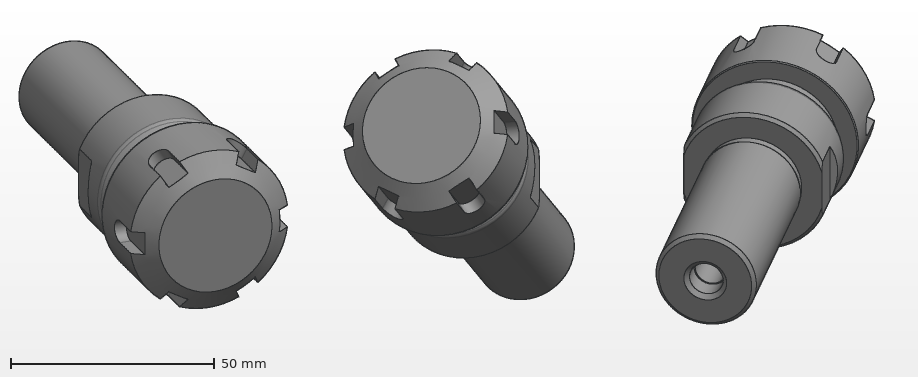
import cadquery as cq
import math

LENGTH = 96.5

SHANK_R = 25.4 / 2
SHANK_CHAMFER = 1.0
NECK_R = 24.8 / 2
SHANK_END = 48.1
NECK_START = 48.55

COLLAR_START = 50.6
COLLAR_R = 38.1 / 2
COLLAR_CHAMFER = 0.9
COLLAR_SHOULDER = 67.5
SHOULDER_FILLET = 1.5

GROOVE_R = 32.0 / 2
GROOVE_START = COLLAR_SHOULDER + COLLAR_R - GROOVE_R

NUT_START = 74.2
NUT_R = 42.2 / 2
NUT_CHAMFER = 0.3
NOSE_START = 92.5
NOSE_R = 15.1

FLAT_OFFSET = 17.5
FLAT_END = 59.2

SLOT_COUNT = 6
SLOT_WIDTH = 5.9
SLOT_TIP = 82.5
SLOT_FLOOR_R = 18.0

HOLE_R = 7.9 / 2
HOLE_DEPTH = 19.3
ENTRY_R = 4.2
ENTRY_DEPTH = 6.0
COUNTERSINK_R = 5.4


def turned_body():
    """Solid of revolution: shank, neck, collar, groove and nut."""
    full_bend = math.radians(45)
    half_bend = full_bend / 2
    fillet_start = COLLAR_SHOULDER - SHOULDER_FILLET * math.tan(half_bend)

    def on_fillet(angle):
        return (
            fillet_start + SHOULDER_FILLET * math.sin(angle),
            COLLAR_R - SHOULDER_FILLET * (1 - math.cos(angle)),
        )

    profile = (
        cq.Workplane("XY")
        .moveTo(0, 0)
        .lineTo(0, SHANK_R - SHANK_CHAMFER)
        .lineTo(SHANK_CHAMFER, SHANK_R)
        .lineTo(SHANK_END, SHANK_R)
        .lineTo(NECK_START, NECK_R)
        .lineTo(COLLAR_START, NECK_R)
        .lineTo(COLLAR_START, COLLAR_R - COLLAR_CHAMFER)
        .lineTo(COLLAR_START + COLLAR_CHAMFER, COLLAR_R)
        .lineTo(fillet_start, COLLAR_R)
        .threePointArc(on_fillet(half_bend), on_fillet(full_bend))
        .lineTo(GROOVE_START, GROOVE_R)
        .lineTo(NUT_START, GROOVE_R)
        .lineTo(NUT_START, NUT_R - NUT_CHAMFER)
        .lineTo(NUT_START + NUT_CHAMFER, NUT_R)
        .lineTo(NOSE_START, NUT_R)
        .lineTo(LENGTH, NOSE_R)
        .lineTo(LENGTH, 0)
        .close()
    )
    return profile.revolve(360, (0, 0, 0), (1, 0, 0))


def flat_cutter():
    """Material removed beside the collar on the +Y side."""
    ramp = NUT_R - FLAT_OFFSET
    return (
        cq.Workplane("XY")
        .moveTo(COLLAR_START, FLAT_OFFSET)
        .lineTo(FLAT_END, FLAT_OFFSET)
        .lineTo(FLAT_END + ramp, NUT_R)
        .lineTo(COLLAR_START, NUT_R)
        .close()
        .extrude(NUT_R, both=True)
    )


def slot_cutter():
    """Round-ended spanner slot on the +Y side, open at the nose."""
    half_width = SLOT_WIDTH / 2
    arc_centre = SLOT_TIP + half_width
    return (
        cq.Workplane("XZ", origin=(0, SLOT_FLOOR_R, 0))
        .moveTo(LENGTH, -half_width)
        .lineTo(arc_centre, -half_width)
        .threePointArc((SLOT_TIP, 0), (arc_centre, half_width))
        .lineTo(LENGTH, half_width)
        .close()
        .extrude(SLOT_FLOOR_R - LENGTH / 2)
    )


def centre_hole():
    """Countersunk, stepped blind hole bored along X from the shank end."""
    countersink_depth = COUNTERSINK_R - ENTRY_R
    return (
        cq.Workplane("XY")
        .moveTo(0, 0)
        .lineTo(0, COUNTERSINK_R)
        .lineTo(countersink_depth, ENTRY_R)
        .lineTo(ENTRY_DEPTH, ENTRY_R)
        .lineTo(ENTRY_DEPTH, HOLE_R)
        .lineTo(HOLE_DEPTH, HOLE_R)
        .lineTo(HOLE_DEPTH, 0)
        .close()
        .revolve(360, (0, 0, 0), (1, 0, 0))
    )


result = turned_body().cut(centre_hole())

for angle in (0, 180):
    result = result.cut(flat_cutter().rotate((0, 0, 0), (1, 0, 0), angle))

for index in range(SLOT_COUNT):
    angle = index * 360 / SLOT_COUNT
    result = result.cut(slot_cutter().rotate((0, 0, 0), (1, 0, 0), angle))